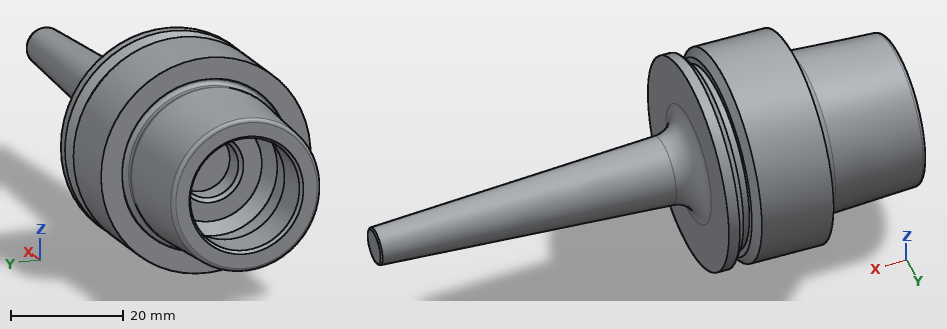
import cadquery as cq
import math

total_length = 100.0
flange_start = 20.0
flange_end = 40.0
flange_radius = 20.0

shank_front_radius = 14.2
shank_base_radius = 15.1
shank_edge_round = 0.7
collar_start = 17.8
collar_end = 18.7
relief_radius = 14.9

face_recess_radius = 16.0
face_recess_floor_radius = 15.7
face_recess_depth = 0.5
collar_root_fillet = face_recess_floor_radius - relief_radius

groove_center = 35.8
groove_floor_width = 1.6
groove_floor_radius = 17.2
groove_wall_radius = 18.4
groove_chamfer_length = 1.3

neck_fillet = 4.8
neck_base_radius = 6.4
tip_radius = 3.5
tip_chamfer = 0.3

bore_radius = 10.4
bore_mouth_radius = 10.9
bore_mouth_depth = 0.7
bore_depth = 8.1
cavity_radius = 11.5
cavity_entry_length = 0.6
cavity_depth = 17.5
cavity_floor_radius = 9.7
cavity_end_taper = 3.0
pilot_radius = 5.5
pilot_mouth_radius = 6.2
pilot_chamfer = pilot_mouth_radius - pilot_radius
pilot_depth = 5.0


def revolve_about_x(outline):
    return outline.close().revolve(360, (0, 0, 0), (1, 0, 0))


def make_body():
    groove_left = groove_center - groove_floor_width / 2
    groove_right = groove_center + groove_floor_width / 2
    round_offset = shank_edge_round * (1 - math.sqrt(0.5))
    root_offset = collar_root_fillet * (1 - math.sqrt(0.5))
    recess_floor = flange_start + face_recess_depth
    fillet_x = flange_end + neck_fillet
    fillet_r = neck_base_radius + neck_fillet
    neck_offset = neck_fillet * (1 - math.sqrt(0.5))
    outline = (
        cq.Workplane("XY")
        .lineTo(0, shank_front_radius - shank_edge_round)
        .threePointArc(
            (round_offset, shank_front_radius - round_offset),
            (shank_edge_round, shank_front_radius),
        )
        .lineTo(collar_start, shank_base_radius)
        .lineTo(collar_end, relief_radius)
        .lineTo(recess_floor - collar_root_fillet, relief_radius)
        .threePointArc(
            (recess_floor - root_offset, relief_radius + root_offset),
            (recess_floor, face_recess_floor_radius),
        )
        .lineTo(recess_floor, face_recess_radius)
        .lineTo(flange_start, face_recess_radius)
        .lineTo(flange_start, flange_radius)
        .lineTo(groove_left - groove_chamfer_length, flange_radius)
        .lineTo(groove_left, groove_wall_radius)
        .lineTo(groove_left, groove_floor_radius)
        .lineTo(groove_right, groove_floor_radius)
        .lineTo(groove_right, groove_wall_radius)
        .lineTo(groove_right + groove_chamfer_length, flange_radius)
        .lineTo(flange_end, flange_radius)
        .lineTo(flange_end, fillet_r)
        .threePointArc(
            (flange_end + neck_offset, neck_base_radius + neck_offset),
            (fillet_x, neck_base_radius),
        )
        .lineTo(total_length - tip_chamfer, tip_radius)
        .lineTo(total_length, tip_radius - tip_chamfer)
        .lineTo(total_length, 0)
    )
    return revolve_about_x(outline)


def make_bore():
    outline = (
        cq.Workplane("XY")
        .lineTo(0, bore_mouth_radius)
        .lineTo(bore_mouth_depth, bore_radius)
        .lineTo(bore_depth, bore_radius)
        .lineTo(bore_depth + cavity_entry_length, cavity_radius)
        .lineTo(cavity_depth - cavity_end_taper, cavity_radius)
        .lineTo(cavity_depth, cavity_floor_radius)
        .lineTo(cavity_depth, pilot_mouth_radius)
        .lineTo(cavity_depth + pilot_chamfer, pilot_radius)
        .lineTo(cavity_depth + pilot_depth, pilot_radius)
        .lineTo(cavity_depth + pilot_depth, 0)
    )
    return revolve_about_x(outline)


result = make_body().cut(make_bore())